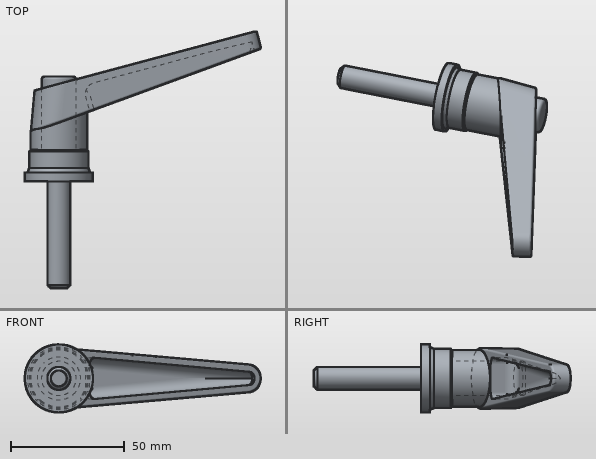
import cadquery as cq
import math


SHAFT_RADIUS = 5.1
SHAFT_LENGTH = 47.1
SHAFT_CHAMFER = 1.6
FLANGE_RADIUS = 15.0
FLANGE_TOP = 4.0
COLLAR_RADIUS = 13.1
COLLAR_TOP = 13.3
COLLAR_CHAMFER = 0.3
COLLAR_FLARE = 0.7
COLLAR_FLARE_TOP = 5.8
NECK_RADIUS = 9.5
BUTTON_RADIUS = 7.6
BUTTON_TOP = 46.0
BUTTON_ROUND = 1.4

HUB_RADIUS = 12.5
HUB_BOTTOM = 13.8
ARM_BOTTOM_HEIGHT = 25.7
ARM_TOP_HEIGHT = 42.8
ARM_BOTTOM_SLOPE = 20.1
ARM_TOP_SLOPE = 15.0
ARM_ROUND = 0.9
ROOT_BOTTOM_X = 0.2
ROOT_TOP_X = 1.9
ROOT_BOTTOM_RADIUS = 13.4
ROOT_TOP_RADIUS = 13.1
TIP_BOTTOM_X = 83.1
TIP_TOP_X = 80.9
TIP_RADIUS = 6.2

POCKET_RADIUS = 5.1
POCKET_CORNER_RADIUS = 3.0
POCKET_START_X = 11.9
POCKET_END_X = 86.0
POCKET_START_HALF_WIDTH = 9.3
POCKET_END_HALF_WIDTH = 2.7
POCKET_HEIGHT = 33.9
POCKET_WALL_DEPTH = 9.0
ARM_SPAN = 112.9


def sloping_plane(height, slope):
    """Plane through the hub axis, rising toward +X, normal on the upper side."""
    angle = math.radians(slope)
    along = (math.cos(angle), math.sin(angle), 0)
    normal = (-math.sin(angle), math.cos(angle), 0)
    return cq.Plane(origin=(0, height, 0), xDir=along, normal=normal)


def along_slope(x, slope):
    """Distance along a sloping plane that reaches the given X."""
    return x / math.cos(math.radians(slope))


def tapered_outline(plane, root, root_radius, tip, tip_radius):
    """Two end arcs joined by their common tangents."""
    lean = math.asin((root_radius - tip_radius) / (tip - root))
    root_x = root + root_radius * math.sin(lean)
    root_y = root_radius * math.cos(lean)
    tip_x = tip + tip_radius * math.sin(lean)
    tip_y = tip_radius * math.cos(lean)
    return (
        cq.Workplane(plane)
        .moveTo(root_x, -root_y)
        .lineTo(tip_x, -tip_y)
        .threePointArc((tip + tip_radius, 0), (tip_x, tip_y))
        .lineTo(root_x, root_y)
        .threePointArc((root - root_radius, 0), (root_x, -root_y))
        .close()
    )


def make_stud():
    profile = [
        (0, -SHAFT_LENGTH),
        (SHAFT_RADIUS - SHAFT_CHAMFER, -SHAFT_LENGTH),
        (SHAFT_RADIUS, SHAFT_CHAMFER - SHAFT_LENGTH),
        (SHAFT_RADIUS, 0),
        (FLANGE_RADIUS, 0),
        (FLANGE_RADIUS, FLANGE_TOP),
        (COLLAR_RADIUS + COLLAR_FLARE, FLANGE_TOP),
        (COLLAR_RADIUS, COLLAR_FLARE_TOP),
        (COLLAR_RADIUS, COLLAR_TOP - COLLAR_CHAMFER),
        (COLLAR_RADIUS - COLLAR_CHAMFER, COLLAR_TOP),
        (NECK_RADIUS, COLLAR_TOP),
        (NECK_RADIUS, HUB_BOTTOM),
        (BUTTON_RADIUS, HUB_BOTTOM),
        (BUTTON_RADIUS, BUTTON_TOP),
        (0, BUTTON_TOP),
    ]
    stud = cq.Workplane("XY").polyline(profile).close().revolve(360, (0, 0, 0), (0, 1, 0))
    return stud.faces(">Y").edges().fillet(BUTTON_ROUND)


def make_arm(bottom_plane, top_plane):
    bottom = tapered_outline(
        bottom_plane,
        along_slope(ROOT_BOTTOM_X, ARM_BOTTOM_SLOPE),
        ROOT_BOTTOM_RADIUS,
        along_slope(TIP_BOTTOM_X, ARM_BOTTOM_SLOPE),
        TIP_RADIUS,
    )
    top = tapered_outline(
        top_plane,
        along_slope(ROOT_TOP_X, ARM_TOP_SLOPE),
        ROOT_TOP_RADIUS,
        along_slope(TIP_TOP_X, ARM_TOP_SLOPE),
        TIP_RADIUS,
    )
    arm = cq.Workplane(cq.Solid.makeLoft([bottom.val(), top.val()], True))
    for plane in (bottom_plane, top_plane):
        arm = arm.faces(cq.selectors.ParallelDirSelector(plane.zDir)).edges().fillet(ARM_ROUND)
    return arm


def make_hub(bottom_plane):
    """Sleeve cut off just inside the arm, so the edge round leaves no gap."""
    hub = cq.Workplane("XZ", origin=(0, HUB_BOTTOM, 0)).circle(HUB_RADIUS)
    hub = hub.extrude(HUB_BOTTOM - ARM_TOP_HEIGHT)
    above = (
        cq.Workplane(bottom_plane)
        .workplane(offset=ARM_ROUND)
        .rect(4 * HUB_RADIUS, 4 * HUB_RADIUS)
        .extrude(ARM_TOP_HEIGHT)
    )
    return hub.cut(above)


def rounded_side(plane, start, end):
    """Space inside one straight pocket wall, which curves over into the flat floor.

    The wall follows the line from start to end, with the pocket on its left.
    """
    first = plane.toWorldCoords((*start, 0))
    direction = plane.toWorldCoords((*end, 0)) - first
    inward = plane.zDir.cross(direction)
    bend = POCKET_RADIUS * math.cos(math.pi / 4)
    section = (
        cq.Workplane(cq.Plane(first, xDir=inward, normal=direction))
        .moveTo(0, -POCKET_WALL_DEPTH)
        .lineTo(0, 0)
        .threePointArc((POCKET_RADIUS - bend, bend), (POCKET_RADIUS, POCKET_RADIUS))
        .lineTo(ARM_SPAN, POCKET_RADIUS)
        .lineTo(ARM_SPAN, -POCKET_WALL_DEPTH)
        .close()
    )
    return section.extrude(ARM_SPAN, both=True)


def make_pocket():
    """Tapered pocket with a floor parallel to the arm top and rounded floor edges."""
    plane = sloping_plane(POCKET_HEIGHT, ARM_TOP_SLOPE)
    start = along_slope(POCKET_START_X, ARM_TOP_SLOPE)
    end = along_slope(POCKET_END_X, ARM_TOP_SLOPE)

    corner_x = start + POCKET_CORNER_RADIUS
    corner_y = POCKET_START_HALF_WIDTH - POCKET_CORNER_RADIUS
    corner_centres = [
        (corner_x, -corner_y),
        (end - POCKET_CORNER_RADIUS, 0),
        (corner_x, corner_y),
    ]
    outline = cq.Workplane(plane).workplane(offset=-POCKET_WALL_DEPTH).polyline(corner_centres).close()
    pocket = outline.offset2D(POCKET_CORNER_RADIUS).extrude(2 * POCKET_WALL_DEPTH)

    near_right = (start, -POCKET_START_HALF_WIDTH)
    near_left = (start, POCKET_START_HALF_WIDTH)
    far_right = (end, -POCKET_END_HALF_WIDTH)
    far_left = (end, POCKET_END_HALF_WIDTH)
    for first, last in ((near_right, far_right), (far_left, near_left), (near_left, near_right)):
        pocket = pocket.intersect(rounded_side(plane, first, last), clean=False)
    return pocket


def make_lever():
    bottom_plane = sloping_plane(ARM_BOTTOM_HEIGHT, ARM_BOTTOM_SLOPE)
    top_plane = sloping_plane(ARM_TOP_HEIGHT, ARM_TOP_SLOPE)
    bore = cq.Workplane("XZ", origin=(0, HUB_BOTTOM, 0)).circle(BUTTON_RADIUS)
    bore = bore.extrude(HUB_BOTTOM - BUTTON_TOP)
    arm = make_arm(bottom_plane, top_plane).cut(make_pocket(), clean=False)
    return arm.union(make_hub(bottom_plane), clean=False).cut(bore, clean=False)


stud = make_stud()
lever = make_lever()

result = cq.Compound.makeCompound([*stud.vals(), *lever.vals()])